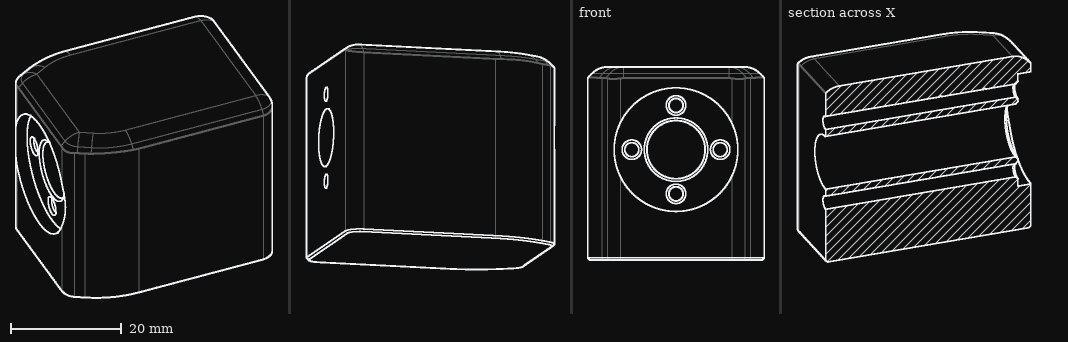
import cadquery as cq
import math

WIDTH = 32.0
LENGTH = 40.0
HEIGHT = 35.0
BOTTOM_CHAMFER = 0.4

TAPER_LENGTH = 7.5
TAPER_ANGLE = 30.0
WALL_BEND_RADIUS = 19.0
WALL_CORNER_RADIUS = 2.75

RIM_CHAMFER = 2.0
RIM_ROUND_RADIUS = 4.0
RIM_BEND_RADIUS = 15.0
RIM_OVERHANG = 1.0
RIM_CORNER_RADIUS = 3.7
RIM_MARGIN = 1.0
RIM_EDGE_ROUND = 0.25

MOUNT_HEIGHT = 20.0
RECESS_DIAMETER = 22.4
RECESS_DEPTH = 2.5
BORE_DIAMETER = 10.5
SCREW_HOLE_DIAMETER = 2.53
SCREW_CIRCLE_DIAMETER = 16.0
HOLE_CHAMFER = 0.5
BLIND_HOLE_DEPTH = 10.0
DRILL_POINT_ANGLE = 118.0


def tapered_prism(length, bend_radius, corner_radius, margin=0.0):
    """Upright block with tapered front corners and rounded vertical edges, grown by a margin."""
    half_width = WIDTH / 2
    half_front = half_width - TAPER_LENGTH * math.tan(math.radians(TAPER_ANGLE))
    outline = cq.Workplane("XY").polyline(
        [
            (-half_front, 0),
            (half_front, 0),
            (half_width, TAPER_LENGTH),
            (half_width, length),
            (-half_width, length),
            (-half_width, TAPER_LENGTH),
        ]
    ).close()
    if margin:
        outline = outline.offset2D(margin, "intersection")
    prism = outline.extrude(HEIGHT)
    side_bends = cq.selectors.BoxSelector(
        (-WIDTH, TAPER_LENGTH / 2, 0), (WIDTH, length / 2, HEIGHT)
    )
    prism = prism.edges("|Z").edges(side_bends).fillet(bend_radius)
    return prism.faces("<Y or >Y").edges("|Z").fillet(corner_radius)


def wall_block():
    """Walls with rounded corners and a chamfered bottom edge."""
    block = tapered_prism(LENGTH, WALL_BEND_RADIUS, WALL_CORNER_RADIUS)
    return block.faces("<Z").edges().chamfer(BOTTOM_CHAMFER)


def rim_envelope():
    """Larger block whose top rim slopes and rounds over down past the wall faces."""
    block = tapered_prism(
        LENGTH + RIM_OVERHANG,
        RIM_BEND_RADIUS + RIM_MARGIN,
        RIM_CORNER_RADIUS + RIM_MARGIN,
        RIM_MARGIN,
    )
    block = block.faces(">Z").edges().chamfer(RIM_CHAMFER + RIM_MARGIN)
    return block.faces(">Z").edges().fillet(RIM_ROUND_RADIUS)


def front_cylinder(diameter, start, depth, x=0.0, z=MOUNT_HEIGHT):
    """Cylinder running along +Y from y = start."""
    solid = cq.Solid.makeCylinder(diameter / 2, depth, cq.Vector(x, start, z), cq.Vector(0, 1, 0))
    return cq.Workplane(obj=solid)


def front_cone(diameter, end_diameter, start, depth, x=0.0, z=MOUNT_HEIGHT):
    """Cone running along +Y from y = start."""
    solid = cq.Solid.makeCone(
        diameter / 2, end_diameter / 2, depth, cq.Vector(x, start, z), cq.Vector(0, 1, 0)
    )
    return cq.Workplane(obj=solid)


def chamfered_hole(diameter, depth, x=0.0, z=MOUNT_HEIGHT):
    """Hole from the recess floor with a chamfered mouth."""
    mouth = front_cone(diameter + 2 * HOLE_CHAMFER, diameter, RECESS_DEPTH, HOLE_CHAMFER, x, z)
    return front_cylinder(diameter, RECESS_DEPTH, depth, x, z).union(mouth)


def blind_hole(x):
    """Screw hole ending in a drill point."""
    point_depth = SCREW_HOLE_DIAMETER / 2 / math.tan(math.radians(DRILL_POINT_ANGLE / 2))
    point = front_cone(SCREW_HOLE_DIAMETER, 0, RECESS_DEPTH + BLIND_HOLE_DEPTH, point_depth, x)
    return chamfered_hole(SCREW_HOLE_DIAMETER, BLIND_HOLE_DEPTH, x).union(point)


def cut_mount(body):
    """Recess, bore, two through screw holes on the middle plane and two blind ones beside."""
    body = body.cut(front_cylinder(RECESS_DIAMETER, 0, RECESS_DEPTH))
    body = body.cut(chamfered_hole(BORE_DIAMETER, LENGTH))
    for side in (-1, 1):
        offset = side * SCREW_CIRCLE_DIAMETER / 2
        body = body.cut(chamfered_hole(SCREW_HOLE_DIAMETER, LENGTH, z=MOUNT_HEIGHT + offset))
        body = body.cut(blind_hole(offset))
    return body


def outer_body():
    """Walls trimmed by the rim, with the edge under the rim chamfer softened."""
    body = wall_block().intersect(rim_envelope())
    rim_height = HEIGHT - RIM_CHAMFER
    rim_edges = cq.selectors.BoxSelector(
        (-WIDTH, -LENGTH, rim_height - RIM_EDGE_ROUND * 2),
        (WIDTH, LENGTH, rim_height + RIM_EDGE_ROUND),
    )
    return body.edges(rim_edges).fillet(RIM_EDGE_ROUND)


result = cut_mount(outer_body())